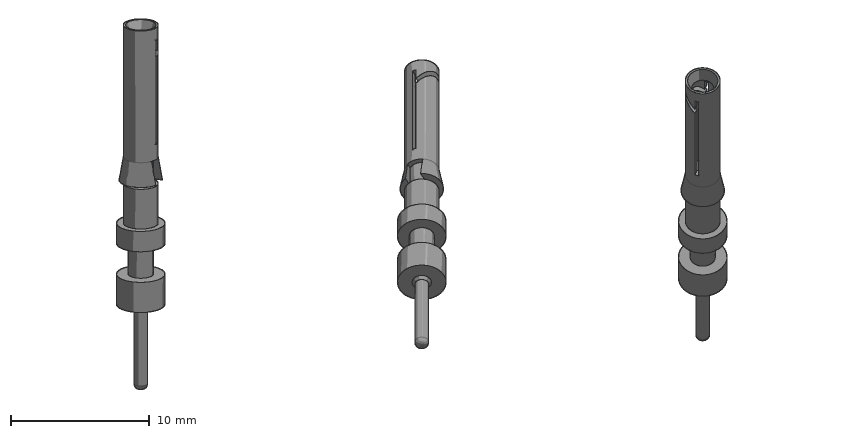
import cadquery as cq

TOTAL_HEIGHT = 28.0
CLIP_TOP = 17.85
CLIP_BOTTOM = 16.07
BODY_TOP = 15.82
UPPER_COLLAR_TOP = 12.77
UPPER_COLLAR_BOTTOM = 11.2
LOWER_COLLAR_TOP = 8.85
LOWER_COLLAR_BOTTOM = 6.52
PIN_TOP = 6.3

BARREL_RADIUS = 1.25
NECK_RADIUS = 1.82 / 2
COLLAR_RADIUS = 3.5 / 2
PIN_RADIUS = 0.5
PIN_ROOT_RADIUS = 0.7
PIN_TIP_ROUND = 0.42

MOUTH_RADIUS = 1.1
BORE_RADIUS = 1.6 / 2
MOUTH_DEPTH = 0.85
BORE_FLOOR = 18.48

SLOT_WIDTH = 0.28
SLOT_TOP = 27.05
SLOT_BOTTOM = 19.05
DIAGONAL_ANGLE = 42.5
DIAGONAL_WIDTH = 0.35
DIAGONAL_START_HEIGHT = 25.82

CLIP_RADIUS = 1.57
CLIP_GAP_WIDTH = 1.2


def cylinder(radius, bottom, top):
    return cq.Workplane("XY").workplane(offset=bottom).circle(radius).extrude(top - bottom)


def cone(bottom_radius, top_radius, bottom, top):
    base = cq.Vector(0, 0, bottom)
    return cq.Workplane(cq.Solid.makeCone(bottom_radius, top_radius, top - bottom, pnt=base))


def turned_body():
    body = cylinder(PIN_RADIUS, 0, PIN_TOP).faces("<Z").edges().fillet(PIN_TIP_ROUND)
    body = body.union(cone(PIN_RADIUS, PIN_ROOT_RADIUS, PIN_TOP, LOWER_COLLAR_BOTTOM))
    sections = [
        (COLLAR_RADIUS, LOWER_COLLAR_BOTTOM, LOWER_COLLAR_TOP),
        (NECK_RADIUS, LOWER_COLLAR_TOP, UPPER_COLLAR_BOTTOM),
        (COLLAR_RADIUS, UPPER_COLLAR_BOTTOM, UPPER_COLLAR_TOP),
        (BARREL_RADIUS, UPPER_COLLAR_TOP, BODY_TOP),
        (NECK_RADIUS, BODY_TOP, CLIP_TOP),
        (BARREL_RADIUS, CLIP_TOP, TOTAL_HEIGHT),
    ]
    for radius, bottom, top in sections:
        body = body.union(cylinder(radius, bottom, top))
    return body


def socket():
    bore = cylinder(BORE_RADIUS, BORE_FLOOR, TOTAL_HEIGHT)
    return bore.union(cone(BORE_RADIUS, MOUTH_RADIUS, TOTAL_HEIGHT - MOUTH_DEPTH, TOTAL_HEIGHT))


def spring_cuts():
    barrel_diameter = 2 * BARREL_RADIUS
    slot = (
        cq.Workplane("XY")
        .box(barrel_diameter, SLOT_WIDTH, SLOT_TOP - SLOT_BOTTOM, centered=(True, True, False))
        .translate((0, 0, SLOT_BOTTOM))
    )
    diagonal = (
        cq.Workplane("XY")
        .box(barrel_diameter, barrel_diameter, DIAGONAL_WIDTH, centered=(True, False, True))
        .rotate((0, 0, 0), (1, 0, 0), DIAGONAL_ANGLE)
        .translate((0, 0, DIAGONAL_START_HEIGHT))
    )
    return slot.union(diagonal)


def retaining_clip():
    ring = cone(CLIP_RADIUS, BARREL_RADIUS, CLIP_BOTTOM, CLIP_TOP)
    ring = ring.cut(cylinder(NECK_RADIUS, CLIP_BOTTOM, CLIP_TOP))
    gap = (
        cq.Workplane("XY")
        .box(CLIP_RADIUS, CLIP_GAP_WIDTH, CLIP_TOP - CLIP_BOTTOM, centered=(False, True, False))
        .translate((0, 0, CLIP_BOTTOM))
    )
    return ring.cut(gap)


result = turned_body().cut(socket()).cut(spring_cuts()).union(retaining_clip())